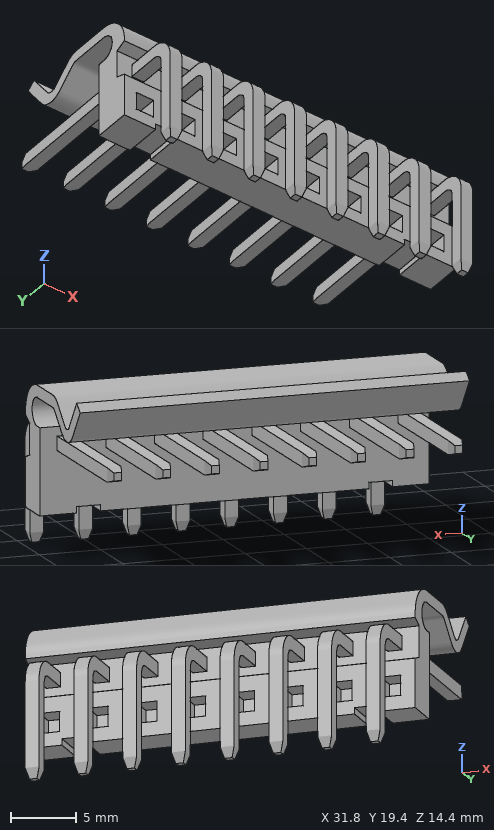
import cadquery as cq
import math

length = 31.8
pin_count = 8
pin_pitch = 3.97

block_depth = 3.27
shelf_height = 6.95
groove_depth = 0.92
groove_bottom = 4.3
groove_top = 6.85
groove_bottom_lip = 3.97
groove_top_lip = 7.25

latch_top = 10.2
latch_thickness = 1.0
hook_depth = 2.67
hook_edge = 7.65
hook_radius = 2.7
crest_start = 6.15
crest_radius = 1.75
fall_angle = math.radians(41)
fall_length = 2.2
valley_radius = 0.65
rise_angle = math.radians(53)
rise_length = 2.9

pocket_size = 1.62
pocket_bottom = 1.1
pocket_depth = 2.0
notch_width = 1.95
notch_height = 0.5

pin_width = 1.15
pin_top = 6.15
pin_back = 15.42
pin_front = -3.97
pin_bottom = -3.7
pin_bend_radius = 2.05
taper_length = 0.83
taper_end_width = 0.65
last_pin_shift = 0.05

pin_positions = [(i - (pin_count - 1) / 2) * pin_pitch for i in range(pin_count)]


def polar(center, radius, angle):
    """Point on a circle; the angle is measured from +Z towards +Y."""
    return (center[0] + radius * math.sin(angle), center[1] + radius * math.cos(angle))


def make_housing():
    """Block, groove, hook and latch as one constant section along X."""
    latch_bottom = latch_top - latch_thickness
    mouth_radius = (latch_bottom - shelf_height) / 2
    mouth_center = (hook_depth, shelf_height + mouth_radius)

    crest_center = (crest_start, latch_top - crest_radius)
    crest_inner_radius = crest_radius - latch_thickness
    crest_end = polar(crest_center, crest_radius, fall_angle)
    valley_start = polar(crest_end, fall_length, fall_angle + math.pi / 2)
    valley_center = polar(valley_start, valley_radius, fall_angle)
    valley_outer_radius = valley_radius + latch_thickness

    fall_side = math.pi + fall_angle
    rise_side = math.pi - rise_angle
    valley_middle = (fall_side + rise_side) / 2
    valley_end = polar(valley_center, valley_radius, rise_side)
    tip_upper = polar(valley_end, rise_length, math.pi / 2 - rise_angle)
    tip_lower = polar(tip_upper, latch_thickness, rise_side)

    section = (
        cq.Workplane("YZ")
        .moveTo(0, 0)
        .lineTo(0, groove_bottom_lip)
        .lineTo(groove_depth, groove_bottom)
        .lineTo(groove_depth, groove_top)
        .lineTo(0, groove_top_lip)
        .lineTo(0, hook_edge)
        .radiusArc((hook_depth, latch_top), hook_radius)
        .lineTo(crest_start, latch_top)
        .threePointArc(polar(crest_center, crest_radius, fall_angle / 2), crest_end)
        .lineTo(*valley_start)
        .threePointArc(polar(valley_center, valley_radius, valley_middle), valley_end)
        .lineTo(*tip_upper)
        .lineTo(*tip_lower)
        .lineTo(*polar(valley_center, valley_outer_radius, rise_side))
        .threePointArc(
            polar(valley_center, valley_outer_radius, valley_middle),
            polar(valley_center, valley_outer_radius, fall_side),
        )
        .lineTo(*polar(crest_center, crest_inner_radius, fall_angle))
        .threePointArc(
            polar(crest_center, crest_inner_radius, fall_angle / 2),
            (crest_start, latch_bottom),
        )
        .lineTo(hook_depth, latch_bottom)
        .threePointArc(polar(mouth_center, mouth_radius, -math.pi / 2), (hook_depth, shelf_height))
        .lineTo(block_depth, shelf_height)
        .lineTo(block_depth, 0)
        .close()
    )
    return section.extrude(length / 2, both=True)


def make_cutter(width, depth, height, x, bottom):
    """Box centred on x that runs back from the front face of the block."""
    box = cq.Workplane("XY").box(width, depth, height, centered=(True, False, False))
    return box.translate((x, 0, bottom))


def make_taper(plane):
    """Pointed pin end that starts on the plane and narrows along its normal."""
    return (
        cq.Workplane(plane)
        .rect(pin_width, pin_width)
        .workplane(offset=taper_length)
        .rect(taper_end_width, taper_end_width)
        .loft(ruled=True)
    )


def make_pin():
    """Right-angle pin centred on X = 0 with both ends tapered."""
    axis_z = pin_top - pin_width / 2
    axis_y = pin_front + pin_width / 2
    back = pin_back - taper_length
    bottom = pin_bottom + taper_length
    axis_radius = pin_bend_radius - pin_width / 2
    bend_center = (axis_y + axis_radius, axis_z - axis_radius)
    path = (
        cq.Workplane("YZ")
        .moveTo(back, axis_z)
        .lineTo(bend_center[0], axis_z)
        .threePointArc(polar(bend_center, axis_radius, -math.pi / 4), (axis_y, bend_center[1]))
        .lineTo(axis_y, bottom)
    )
    back_plane = cq.Plane(origin=(0, back, axis_z), xDir=(1, 0, 0), normal=(0, 1, 0))
    bottom_plane = cq.Plane(origin=(0, axis_y, bottom), xDir=(1, 0, 0), normal=(0, 0, -1))
    shank = cq.Workplane(back_plane).rect(pin_width, pin_width).sweep(path)
    return shank.union(make_taper(back_plane)).union(make_taper(bottom_plane))


result = make_housing()

for x in pin_positions:
    result = result.cut(make_cutter(pocket_size, pocket_depth, pocket_size, x, pocket_bottom))

notch_x = (pin_positions[-1] + pin_positions[-2]) / 2
for x in (-notch_x, notch_x):
    result = result.cut(make_cutter(notch_width, block_depth, notch_height, x, 0))

pin = make_pin()
for x in pin_positions[:-1]:
    result = result.union(pin.translate((x, 0, 0)))
result = result.union(pin.translate((pin_positions[-1], -last_pin_shift, last_pin_shift)))